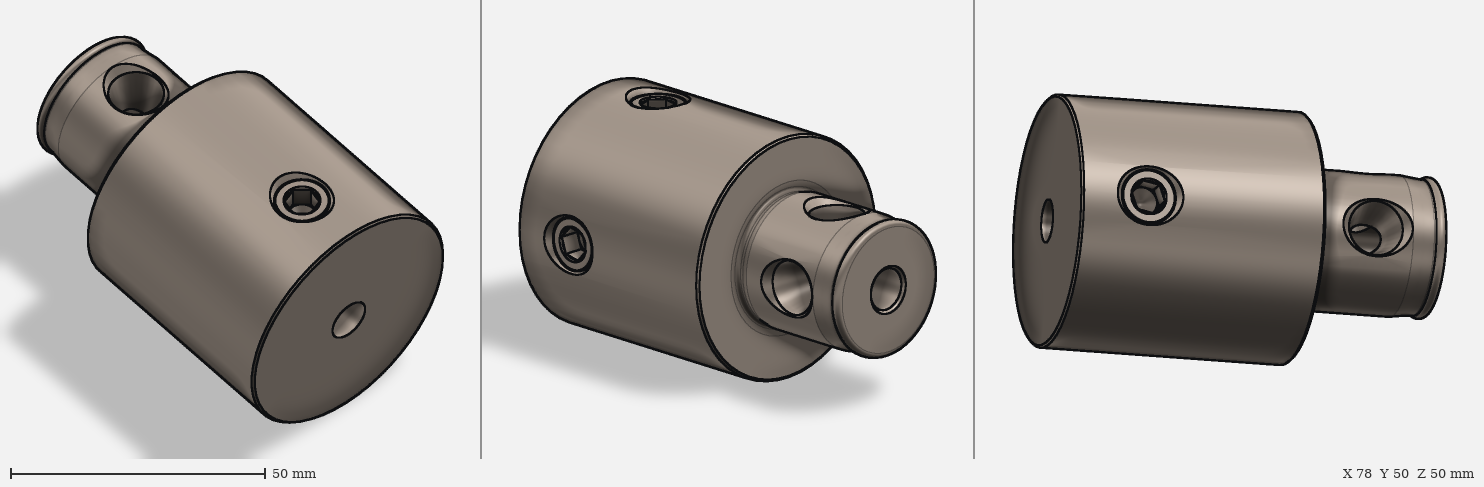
import cadquery as cq
import math

total_length = 78.0
shank_length = 28.0
shank_radius = 28.0 / 2
head_radius = 50.0 / 2
head_chamfer = 0.5

collar_round = 1.2
groove_radius = 26.9 / 2
taper_start = 2.6
taper_end = 7.0

neck_radius = 27.3 / 2
relief_start = 25.5
relief_floor_start = 26.8
relief_depth = 0.2
relief_round = 0.8
relief_mouth_radius = 31.5 / 2

bore_radius = 8.5 / 2
bore_chamfer = 0.6

pocket_x = 14.3
pocket_radius = 11.0 / 2
pocket_edge_z = 12.4
pocket_half_angle = 15.0

screw_x = 63.95
screw_radius = 11.0 / 2
screw_seat_z = 23.8
screw_length = 11.0
screw_chamfer = 0.2

socket_flats = 6.0
socket_turn = 19.0
socket_depth = 4.7
socket_mouth_radius = 7.25 / 2
socket_mouth_depth = 0.4
drill_half_angle = 60.0

side_angles = (0.0, -90.0)

cutter_clearance = 0.8


def turned_about_axis(shape, angle):
    """Copy of a shape turned about the X axis."""
    return shape.rotate((0, 0, 0), (1, 0, 0), angle)


def vertical_cone(x, lower_z, lower_radius, upper_z, upper_radius):
    """Cone frustum about a vertical axis that crosses the X axis at x."""
    return cq.Workplane(
        cq.Solid.makeCone(
            lower_radius, upper_radius, upper_z - lower_z, cq.Vector(x, 0, lower_z), cq.Vector(0, 0, 1)
        )
    )


def flared_mouth(x, edge_radius, edge_z, clear_z):
    """45-degree countersink that opens from edge_z up to clear_z."""
    return vertical_cone(x, edge_z, edge_radius, clear_z, edge_radius + clear_z - edge_z)


def turned_blank():
    """Revolved shank and head with the axial bore."""
    diagonal = math.sqrt(0.5)
    collar_center_r = shank_radius - collar_round
    collar_back_x = collar_round + math.sqrt(collar_round**2 - (groove_radius - collar_center_r) ** 2)
    relief_bottom_x = shank_length + relief_depth
    relief_center_x = relief_bottom_x - relief_round
    relief_center_r = neck_radius + relief_round

    profile = (
        cq.Workplane("XY")
        .moveTo(0, bore_radius + bore_chamfer)
        .lineTo(0, collar_center_r)
        .threePointArc((collar_round, shank_radius), (collar_back_x, groove_radius))
        .lineTo(taper_start, groove_radius)
        .lineTo(taper_end, shank_radius)
        .lineTo(relief_start, shank_radius)
        .lineTo(relief_floor_start, neck_radius)
        .lineTo(relief_center_x, neck_radius)
        .threePointArc(
            (relief_center_x + relief_round * diagonal, relief_center_r - relief_round * diagonal),
            (relief_bottom_x, relief_center_r),
        )
        .lineTo(shank_length, relief_mouth_radius)
        .lineTo(shank_length, head_radius - head_chamfer)
        .lineTo(shank_length + head_chamfer, head_radius)
        .lineTo(total_length - head_chamfer, head_radius)
        .lineTo(total_length, head_radius - head_chamfer)
        .lineTo(total_length, bore_radius)
        .lineTo(bore_chamfer, bore_radius)
        .close()
    )
    return profile.revolve(360, (0, 0, 0), (1, 0, 0))


def shank_pocket():
    """Tapered pocket with a flared mouth, reaching down to the bore axis."""
    narrowing = pocket_edge_z * math.tan(math.radians(pocket_half_angle))
    taper = vertical_cone(pocket_x, 0, pocket_radius - narrowing, pocket_edge_z, pocket_radius)
    mouth = flared_mouth(pocket_x, pocket_radius, pocket_edge_z, shank_radius + cutter_clearance)
    return taper.union(mouth)


def screw_blank():
    """Plain cylinder that fills the straight part of the screw hole."""
    return (
        cq.Workplane("XY", origin=(screw_x, 0, screw_seat_z - screw_length))
        .circle(screw_radius)
        .extrude(screw_length)
    )


def screw_hole():
    """Blind screw hole with a flared mouth."""
    mouth = flared_mouth(screw_x, screw_radius, screw_seat_z, head_radius + cutter_clearance)
    return screw_blank().union(mouth)


def make_housing():
    """Shank and head with the pockets and the screw holes."""
    housing = turned_blank()
    for angle in side_angles:
        housing = housing.cut(turned_about_axis(shank_pocket(), angle))
        housing = housing.cut(turned_about_axis(screw_hole(), angle))
    return housing


def make_screw(angle):
    """Set screw with a hexagon socket, a chamfered socket mouth and a drill point."""
    socket_floor_z = screw_seat_z - socket_depth
    socket = (
        cq.Workplane("XY", origin=(screw_x, 0, socket_floor_z))
        .transformed(rotate=(0, 0, socket_turn))
        .polygon(6, socket_flats, circumscribed=True)
        .extrude(socket_depth)
    )
    mouth = vertical_cone(
        screw_x,
        screw_seat_z - socket_mouth_depth,
        socket_mouth_radius - socket_mouth_depth,
        screw_seat_z,
        socket_mouth_radius,
    )
    drill_radius = socket_flats / 2
    point_depth = drill_radius / math.tan(math.radians(drill_half_angle))
    drill_point = vertical_cone(screw_x, socket_floor_z - point_depth, 0, socket_floor_z, drill_radius)
    body = screw_blank().faces(">Z").chamfer(screw_chamfer)
    return turned_about_axis(body.cut(socket).cut(mouth).cut(drill_point), angle)


housing = make_housing()
screws = [make_screw(angle) for angle in side_angles]

result = cq.Compound.makeCompound([housing.val(), *[screw.val() for screw in screws]])